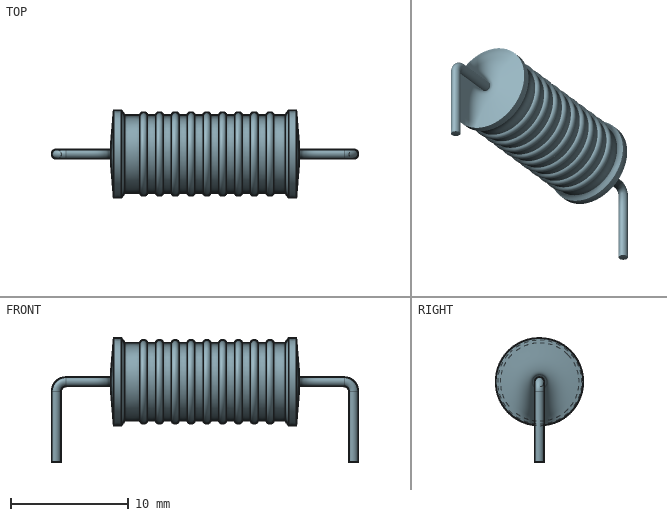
import cadquery as cq

overall_length = 26.2
lead_diameter = 0.8
lead_bend_radius = 0.8
lead_drop = 6.86

core_diameter = 6.7
flange_diameter = 7.5
rim_half_length = 7.8
end_cone_height = 0.25
end_flat_diameter = 1.25
rim_width = 0.65
taper_length = 0.3

turn_count = 9
winding_length = 10.8
turn_radius = 0.35
turn_outer_diameter = 7.18
winding_offset = 0.15

core_radius = core_diameter / 2
flange_radius = flange_diameter / 2
turn_pitch = winding_length / (turn_count - 1)
end_x = rim_half_length + end_cone_height


def make_bobbin():
    """Revolve the core, its two tapered flanges and shallow conical ends about X."""
    end_flat_radius = end_flat_diameter / 2
    rim_inner_x = rim_half_length - rim_width
    core_end_x = rim_inner_x - taper_length
    profile = [
        (-end_x, 0),
        (-end_x, end_flat_radius),
        (-rim_half_length, flange_radius),
        (-rim_inner_x, flange_radius),
        (-core_end_x, core_radius),
        (core_end_x, core_radius),
        (rim_inner_x, flange_radius),
        (rim_half_length, flange_radius),
        (end_x, end_flat_radius),
        (end_x, 0),
    ]
    return cq.Workplane("XY").polyline(profile).close().revolve(360, (0, 0), (1, 0))


def make_turn(x):
    """One ring of wire, partly sunk into the core."""
    ring_radius = turn_outer_diameter / 2 - turn_radius
    return cq.Workplane("XY").center(x, ring_radius).circle(turn_radius).revolve(
        360, (0, -ring_radius), (1, -ring_radius)
    )


def make_lead(side):
    """Round lead leaving one end of the bobbin and bending down; side is -1 or +1."""
    leg_x = overall_length / 2 - lead_diameter / 2
    bend_start_x = leg_x - lead_bend_radius
    start_x = rim_half_length
    path = (
        cq.Workplane("XZ")
        .moveTo(side * start_x, 0)
        .lineTo(side * bend_start_x, 0)
        .tangentArcPoint((side * leg_x, -lead_bend_radius), relative=False)
        .lineTo(side * leg_x, -lead_drop)
    )
    return cq.Workplane("YZ", origin=(side * start_x, 0, 0)).circle(lead_diameter / 2).sweep(path)


result = make_bobbin()
for turn in range(turn_count):
    offset_from_middle = (turn - (turn_count - 1) / 2) * turn_pitch
    result = result.union(make_turn(winding_offset + offset_from_middle))
for lead_side in (-1, 1):
    result = result.union(make_lead(lead_side))